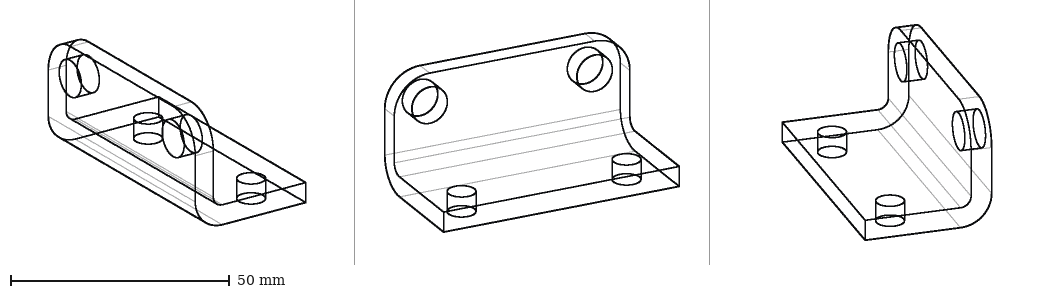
import cadquery as cq

length = 60.0
depth = 30.5
height = 28.0
thickness = 5.0
outer_bend_radius = 7.5
inner_bend_radius = outer_bend_radius - thickness

corner_radius = 9.0
hole_inset = 9.0
hole_spacing = length - 2 * hole_inset

wall_hole_diameter = 9.0
wall_hole_drop = 8.0
base_hole_diameter = 6.6
base_hole_setback = 9.0


def bent_plate():
    """L section with a concentric bend, extruded along X; outer faces lie at Y = 0 and Z = 0."""
    base = cq.Workplane("XY").box(length, depth, thickness, centered=(True, False, False))
    wall = cq.Workplane("XY").box(length, thickness, height, centered=(True, False, False))
    plate = base.union(wall)
    inner_edge_point = (0, thickness, thickness)
    plate = plate.edges(cq.selectors.NearestToPointSelector(inner_edge_point)).fillet(inner_bend_radius)
    outer_edge_point = (0, 0, 0)
    return plate.edges(cq.selectors.NearestToPointSelector(outer_edge_point)).fillet(outer_bend_radius)


def hole_pair(plane, position, diameter, reach):
    """Two cylinders spaced along X, at the given second coordinate of the plane."""
    centers = [(side * hole_spacing / 2, position) for side in (-1, 1)]
    return cq.Workplane(plane).pushPoints(centers).circle(diameter / 2).extrude(reach)


bracket = bent_plate()

bracket = bracket.faces(">Z").edges("|Y").fillet(corner_radius)

bracket = bracket.cut(hole_pair("XZ", height - wall_hole_drop, wall_hole_diameter, -thickness))

bracket = bracket.cut(hole_pair("XY", depth - base_hole_setback, base_hole_diameter, thickness))

result = bracket